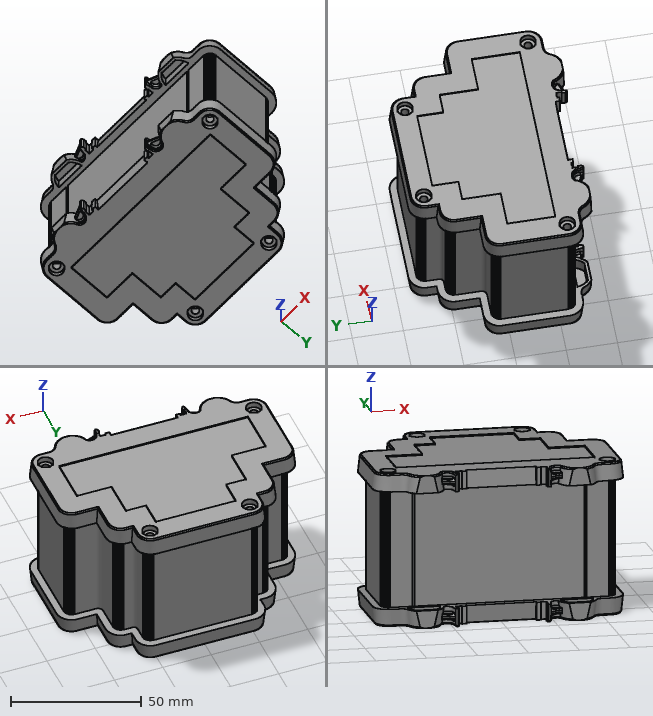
import cadquery as cq
import math

total_height = 60.5
cover_height = 7.0
body_length = total_height - 2 * cover_height

half_widths = [49.2, 35.0, 26.6]
stage_tops = [43.8, 59.1, 69.0]
cover_bottom = 4.8
corner_radius = 6.2
draft = 0.7
rim_chamfer = 0.5
rim_chamfer_height = 0.6

foot_x = -30.0
foot_y = 6.4
foot_radius = 7.7
foot_blend_radius = 2.8
foot_wall = 1.3
foot_pocket_top = 5.9
foot_pocket_depth = 5.5

arch_x = -21.6
arch_y = 2.6
arch_radius = 2.5
finger_bottom = 0.3
finger_right = -17.8
finger_tip_left = -18.7
hook_right = -17.3
hook_low = 1.1
hook_high = 2.4

seat_y = 4.5
tab_left = -15.5
tab_right = -13.8
tab_bottom = 3.7

web_thickness = 2.0
web_blend = 0.7
web_edge_thickness = 0.8
web_foot_end = (-23.6, 2.4)
web_finger_end = (-18.6, 0.3)

screw_points = [(-43.1, 11.0), (-20.65, 63.0), (20.65, 63.0), (43.1, 11.0)]
screw_hole_diameter = 3.0
screw_head_diameter = 6.1
screw_head_depth = 2.5
label_half_widths = [39.0, 24.8, 16.5]
label_stage_tops = [33.7, 48.8, 59.0]
label_bottom = 14.9
label_depth = 0.5

body_gap = 3.0
body_corner_radius = 3.2
flutes_per_corner = 10
flute_depth = 0.2
body_step_radii = [2.1, 1.5]
groove_x = -34.3
groove_width = 1.0
groove_valley = 0.3
groove_depth = 0.5


def mirrored_whole(half):
    """Join a left half with its mirror image across X = 0."""
    return half.union(half.mirror("YZ")).clean()


def cover_half_wire(z, inset, chamfer_inset, rail_inset):
    """Left half of the cover outline at height z, with its walls moved in by the insets."""
    radius = corner_radius - inset
    bottom = cover_bottom + inset
    diagonal = radius * (1 - math.sqrt(0.5))

    foot_r = foot_radius - inset
    blend_r = foot_blend_radius + inset
    blend_y = bottom - blend_r
    centre_gap = foot_r + blend_r
    blend_x = foot_x - math.sqrt(centre_gap**2 - (foot_y - blend_y)**2)
    blend_mid_angle = (math.pi / 2 + math.atan2(foot_y - blend_y, foot_x - blend_x)) / 2
    blend_mid = (
        blend_x + blend_r * math.cos(blend_mid_angle),
        blend_y + blend_r * math.sin(blend_mid_angle),
    )
    blend_end = (
        blend_x + blend_r * (foot_x - blend_x) / centre_gap,
        blend_y + blend_r * (foot_y - blend_y) / centre_gap,
    )
    flat_half = math.sqrt(foot_r**2 - foot_y**2)

    arch_r = arch_radius + chamfer_inset
    span_x = arch_x - foot_x
    span_y = arch_y - foot_y
    span = math.hypot(span_x, span_y)
    along = (span**2 + foot_r**2 - arch_r**2) / (2 * span)
    across = math.sqrt(foot_r**2 - along**2)
    notch = (
        foot_x + (along * span_x - across * span_y) / span,
        foot_y + (along * span_y + across * span_x) / span,
    )

    wire = cq.Workplane("XY", origin=(0, 0, z)).moveTo(0, stage_tops[2] - inset)
    for stage in (2, 1, 0):
        side = -half_widths[stage] + inset
        top = stage_tops[stage] - inset
        wire = wire.lineTo(side + radius, top)
        wire = wire.threePointArc((side + diagonal, top - diagonal), (side, top - radius))
        foot_of_wall = stage_tops[stage - 1] - inset if stage else bottom + radius
        wire = wire.lineTo(side, foot_of_wall)
    side = -half_widths[0] + inset
    wire = wire.threePointArc((side + diagonal, bottom + diagonal), (side + radius, bottom))
    wire = wire.lineTo(blend_x, bottom)
    wire = wire.threePointArc(blend_mid, blend_end)
    wire = wire.radiusArc((foot_x - flat_half, 0), -foot_r)
    wire = wire.lineTo(foot_x + flat_half, 0)
    wire = wire.radiusArc(notch, -foot_r)
    wire = wire.threePointArc((arch_x, arch_y + arch_r), (arch_x + arch_r, arch_y))
    wire = wire.lineTo(finger_tip_left + chamfer_inset, finger_bottom)
    wire = wire.lineTo(finger_right, finger_bottom)
    wire = wire.lineTo(hook_right, hook_low)
    wire = wire.lineTo(hook_right, hook_high)
    wire = wire.lineTo(finger_right, hook_high)
    wire = wire.lineTo(finger_right, seat_y)
    wire = wire.lineTo(tab_left, seat_y)
    wire = wire.lineTo(tab_left, tab_bottom)
    wire = wire.lineTo(tab_right, tab_bottom)
    wire = wire.lineTo(tab_right, cover_bottom + rail_inset)
    wire = wire.lineTo(0, cover_bottom + rail_inset)
    return wire.close().val()


def cover_half_shell():
    """Drafted wall from the open face up, then the rim chamfer."""
    chamfer_z = cover_height - rim_chamfer_height
    rail_at_chamfer = draft * chamfer_z / cover_height
    sections = [
        cover_half_wire(0, 0, 0, 0),
        cover_half_wire(chamfer_z, draft, 0, rail_at_chamfer),
        cover_half_wire(cover_height, draft + rim_chamfer, rim_chamfer, draft),
    ]
    return cq.Workplane(cq.Solid.makeLoft(sections, True))


def foot_pocket():
    """D-shaped pocket that hollows a foot from the open face."""
    inner_radius = foot_radius - foot_wall
    pocket = cq.Workplane("XY").center(foot_x, foot_y).circle(inner_radius).extrude(foot_pocket_depth)
    keep_height = foot_pocket_top - foot_wall
    keep = (
        cq.Workplane("XY")
        .center(foot_x, foot_wall + keep_height / 2)
        .rect(2 * foot_radius, keep_height)
        .extrude(foot_pocket_depth)
    )
    return pocket.intersect(keep)


def finger_web():
    """Web across the notch at mid height, bevelled at its free edge and dished to blend into the arch."""
    blended_thickness = web_thickness + 2 * web_blend
    bevel = (blended_thickness - web_edge_thickness) / 2
    arch_top = arch_y + arch_radius
    points = [
        web_foot_end,
        web_finger_end,
        (web_finger_end[0], arch_top),
        (web_foot_end[0], arch_top),
    ]
    web = cq.Workplane("XY").polyline(points).close().extrude(blended_thickness / 2, both=True)
    edge_x = (web_foot_end[0] + web_finger_end[0]) / 2
    edge_y = (web_foot_end[1] + web_finger_end[1]) / 2
    for face in (">Z", "<Z"):
        free_edge = cq.selectors.NearestToPointSelector((edge_x, edge_y, 0))
        web = web.faces(face).edges(free_edge).chamfer(bevel)

    dish_base = cq.Vector(arch_x, arch_y, web_thickness / 2)
    dish = cq.Workplane(cq.Solid.makeCone(arch_radius - web_blend, arch_radius, web_blend, pnt=dish_base))
    web = web.cut(dish).cut(dish.mirror("XY"))
    return web.translate((0, 0, cover_height / 2))


def label_recess():
    """Stepped shallow recess in the outer face."""
    left = [(-half, top) for half, top in zip(label_half_widths, label_stage_tops)]
    points = [(0, label_bottom), (-label_half_widths[0], label_bottom), left[0]]
    for (_, lower_top), (half, top) in zip(left, left[1:]):
        points += [(half, lower_top), (half, top)]
    points.append((0, label_stage_tops[-1]))
    half_recess = (
        cq.Workplane("XY")
        .workplane(offset=cover_height - label_depth)
        .polyline(points)
        .close()
        .extrude(label_depth)
    )
    return mirrored_whole(half_recess)


def make_cover():
    """Cover with its open face on Z = 0 and its outer face up."""
    half = cover_half_shell().union(finger_web()).cut(foot_pocket())
    cover = mirrored_whole(half).cut(label_recess())
    return (
        cover.faces(">Z")
        .workplane(origin=(0, 0, cover_height))
        .pushPoints(screw_points)
        .cboreHole(screw_hole_diameter, screw_head_diameter, screw_head_depth)
    )


def fluted_corner(centre_x, centre_y, start_angle):
    """Zigzag points that run a quarter turn clockwise round a convex corner."""
    points = []
    steps = 2 * flutes_per_corner
    for step in range(steps + 1):
        angle = start_angle - math.pi / 2 * step / steps
        radius = body_corner_radius - flute_depth * (step % 2)
        points.append((centre_x + radius * math.cos(angle), centre_y + radius * math.sin(angle)))
    return points


def make_body():
    """Stepped extrusion with fluted corners that stands between the covers, centred on Z = 0."""
    sides = [-half + body_gap for half in half_widths]
    tops = [top - body_gap for top in stage_tops]
    bottom = cover_bottom + body_gap
    points = [(0, bottom)]
    points += fluted_corner(sides[0] + body_corner_radius, bottom + body_corner_radius, 1.5 * math.pi)
    for stage in range(3):
        points += fluted_corner(sides[stage] + body_corner_radius, tops[stage] - body_corner_radius, math.pi)
        if stage < 2:
            points.append((sides[stage + 1], tops[stage]))
    points.append((0, tops[2]))
    half = cq.Workplane("XY").polyline(points).close().extrude(body_length / 2, both=True)

    for stage, radius in enumerate(body_step_radii):
        inner_corner = cq.selectors.NearestToPointSelector((sides[stage + 1], tops[stage], 0))
        half = half.edges("|Z").edges(inner_corner).fillet(radius)

    groove = (
        cq.Workplane("XY")
        .moveTo(groove_x, bottom)
        .lineTo(groove_x + groove_valley, bottom + groove_depth)
        .lineTo(groove_x + groove_width, bottom)
        .close()
        .extrude(body_length / 2, both=True)
    )
    screw_holes = (
        cq.Workplane("XY")
        .pushPoints(screw_points)
        .circle(screw_hole_diameter / 2)
        .extrude(body_length / 2, both=True)
    )
    return mirrored_whole(half.cut(groove)).cut(screw_holes)


body = make_body()
upper_cover = make_cover().translate((0, 0, body_length / 2))
lower_cover = upper_cover.mirror("XY")

result = cq.Compound.makeCompound([body.val(), upper_cover.val(), lower_cover.val()])